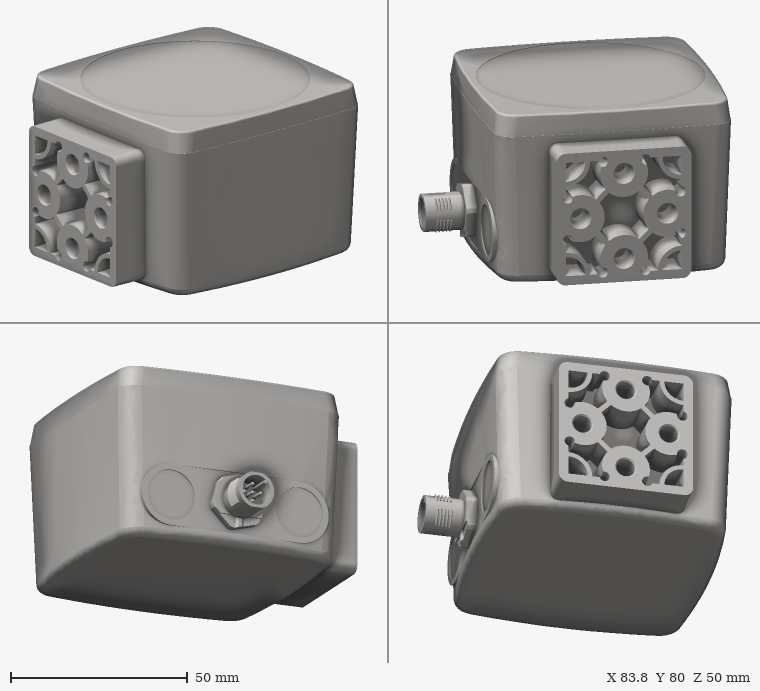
import cadquery as cq
import math

half_width = 35.0
seam_z = 43.8
total_height = 50.0
bottom_round = 2.5
bottom_plan = (half_width, 27.65, 2.1)
seam_plan = (half_width, 29.25, 0.75)
lid_base_inset = 0.125
lid_base_plan = (half_width - lid_base_inset, 29.25, 0.75)
lid_top_plan = (34.7, 28.0, 1.25)
lid_round = 0.75
label_radius = 32.5
label_depth = 0.2

pad_face_x = -34.5
pad_z = 12.6
pad_radius = 9.05
pad_recess_radius = 7.4
pad_recess_spacing = 40.0
pad_recess_depth = 0.4
pad_root_x = -29.3

block_face_y = -45.0
block_size = 38.9
block_corner_radius = 2.5
block_z = 21.9
block_root_y = -25.1
block_draft = 0.6
pocket_depth = 9.6
pocket_draft = 2.4
pocket_half = 16.8
boss_offset = 12.6
boss_radius = 6.95
rib_width = 1.5
bolt_hole_diameter = 5.4
bolt_hole_depth = 10.05
bolt_chamfer = 0.4
corner_pocket_radius = 5.6
corner_web_radius = 6.95
relief_radius = 1.5
relief_near = 6.2
relief_far = 16.3

connector_tip_x = -48.8
nut_front_x = -37.6
nut_apothem = 7.5
nut_corner_radius = 8.3
nut_turn = -15
nut_chamfer = 0.25
nut_step_z = -4.4
nut_step_depth = 0.6
key_base_width = 2.5
key_top_width = 1.2
barrel_radius = 5.45
barrel_flat = 5.2
bore_radius = 4.35
bore_depth = 8.4
bore_key_radius = 0.5
bore_key_tip = 3.35
pin_radius = 0.5
pin_offset = 2.5
pin_length = 6.1
pin_tip = 0.3
cross_length = 6.2
cross_arm_width = 0.7
cross_hub_radius = 1.7
cross_clearance = 1.3
cross_depth = 0.4
thread_pitch = 1.0
thread_turns = 5
thread_crest_radius = 6.0
thread_root_radius = 5.0
thread_start_x = -46.4
thread_segments = ((-38, 38), (121, 159), (190, 240))


def quarter_turned(point, quarters):
    """Point turned about the vertical axis by a number of quarter turns."""
    x, y = point
    for _ in range(quarters):
        x, y = -y, x
    return x, y


def plan_wire(plan, z):
    """Square outline with bulged sides and corner arcs tangent to them."""
    half, reach, bulge = plan
    edge = half - bulge
    slope = 2 * math.atan(bulge / reach)
    half_sweep = math.pi / 4 - slope
    half_chord = (edge - reach) / math.sqrt(2)
    sagitta = half_chord * math.tan(half_sweep / 2)
    middle = (edge + reach) / 2 + sagitta / math.sqrt(2)
    outline = cq.Workplane("XY", origin=(0, 0, z)).moveTo(edge, -reach)
    for quarter in range(4):
        side_middle, side_end, corner_middle, corner_end = [
            quarter_turned(point, quarter)
            for point in ((half, 0), (edge, reach), (middle, middle), (reach, edge))]
        outline = outline.threePointArc(side_middle, side_end)
        outline = outline.threePointArc(corner_middle, corner_end)
    return outline.close().wire().val()


def loft_between(lower_plan, lower_z, upper_plan, upper_z):
    wires = [plan_wire(lower_plan, lower_z), plan_wire(upper_plan, upper_z)]
    return cq.Workplane(cq.Solid.makeLoft(wires, True))


def pad_plane(x):
    """Sketch plane facing -X, centred on the pad; local x runs along -Y."""
    return cq.Workplane(cq.Plane((x, 0, pad_z), xDir=(0, -1, 0), normal=(-1, 0, 0)))


def block_plane(y):
    """Sketch plane looking into the block along +Y; local y runs along -Z."""
    return cq.Workplane(cq.Plane((0, y, block_z), xDir=(1, 0, 0), normal=(0, 1, 0)))


def make_housing():
    body = loft_between(bottom_plan, 0, seam_plan, seam_z)
    body = body.faces("<Z").edges().fillet(bottom_round)
    pad_length = pad_recess_spacing + 2 * pad_radius
    pad = pad_plane(pad_root_x).slot2D(pad_length, 2 * pad_radius).extrude(pad_root_x - pad_face_x)
    clearance = pad_plane(pad_face_x).slot2D(pad_length, 2 * pad_radius).extrude(half_width)
    centres = [(-pad_recess_spacing / 2, 0), (pad_recess_spacing / 2, 0)]
    recesses = pad_plane(pad_face_x).pushPoints(centres).circle(pad_recess_radius).extrude(-pad_recess_depth)
    return body.union(pad).cut(clearance).cut(recesses)


def make_lid():
    body = loft_between(lid_base_plan, seam_z, lid_top_plan, total_height)
    body = body.faces(">Z").edges().fillet(lid_round)
    label = cq.Workplane("XY", origin=(0, 0, total_height)).circle(label_radius).extrude(-label_depth)
    return body.cut(label)


def block_pockets(boss_centres):
    """Drafted pockets left between the bosses, diagonal ribs and corner webs."""
    def face():
        return block_plane(block_face_y)

    corners = [(sx * pocket_half, sz * pocket_half) for sx in (-1, 1) for sz in (-1, 1)]
    area = face().rect(2 * pocket_half, 2 * pocket_half).extrude(pocket_depth, taper=pocket_draft)
    bosses = face().pushPoints(boss_centres).circle(boss_radius).extrude(pocket_depth, taper=-pocket_draft)
    webs = face().pushPoints(corners).circle(corner_web_radius).extrude(pocket_depth, taper=-pocket_draft)
    rib_square = boss_offset * math.sqrt(2)
    ribs = (face().transformed(rotate=(0, 0, 45)).rect(rib_square + rib_width, rib_square + rib_width)
            .extrude(pocket_depth, taper=-pocket_draft))
    ribs = ribs.cut(face().transformed(rotate=(0, 0, 45))
                    .rect(rib_square - rib_width, rib_square - rib_width)
                    .extrude(pocket_depth, taper=pocket_draft))
    pockets = area.cut(bosses).cut(webs).cut(ribs)
    quarters = (face().pushPoints(corners).circle(corner_pocket_radius)
                .extrude(pocket_depth, taper=pocket_draft))
    pockets = pockets.union(quarters.intersect(area))
    reliefs = [(sx * a, sz * b) for sx in (-1, 1) for sz in (-1, 1)
               for a, b in ((relief_near, relief_far), (relief_far, relief_near))]
    return pockets.union(face().pushPoints(reliefs).circle(relief_radius)
                         .extrude(pocket_depth, taper=pocket_draft))


def make_mount(housing):
    depth = block_root_y - block_face_y
    outline = cq.Sketch().rect(block_size, block_size).vertices().fillet(block_corner_radius)
    block = block_plane(block_face_y).placeSketch(outline).extrude(depth, taper=-block_draft)
    boss_centres = [(boss_offset, 0), (-boss_offset, 0), (0, boss_offset), (0, -boss_offset)]
    holes = (block_plane(block_face_y).pushPoints(boss_centres)
             .circle(bolt_hole_diameter / 2).extrude(bolt_hole_depth))
    sinks = (block_plane(block_face_y).pushPoints(boss_centres)
             .circle(bolt_hole_diameter / 2 + bolt_chamfer).extrude(bolt_chamfer, taper=45))
    return block.cut(housing).cut(block_pockets(boss_centres)).cut(holes).cut(sinks)


def make_nut():
    length = pad_face_x - nut_front_x
    hexagon = (pad_plane(pad_face_x).transformed(rotate=(0, 0, nut_turn))
               .polygon(6, 2 * nut_apothem, circumscribed=True).extrude(length))
    disc = pad_plane(pad_face_x).circle(nut_corner_radius).extrude(length).faces("<X").chamfer(nut_chamfer)
    nut = hexagon.intersect(disc)
    step_height = nut_corner_radius + nut_step_z
    step = (pad_plane(nut_front_x).center(0, nut_step_z - step_height / 2)
            .rect(2 * nut_corner_radius, step_height).extrude(-nut_step_depth))
    key = (cq.Workplane("XY", origin=(0, 0, pad_z + nut_step_z))
           .polyline([(nut_front_x, -key_top_width / 2), (nut_front_x, key_top_width / 2),
                      (nut_front_x + nut_step_depth, key_base_width / 2),
                      (nut_front_x + nut_step_depth, -key_base_width / 2)])
           .close().extrude(-step_height))
    return nut.cut(step.cut(key))


def make_barrel():
    length = nut_front_x - connector_tip_x
    barrel = pad_plane(nut_front_x).circle(barrel_radius).extrude(length)
    return barrel.intersect(pad_plane(nut_front_x).rect(2 * barrel_radius, 2 * barrel_flat).extrude(length))


def make_thread():
    """Ring ridges in three angular segments, each segment shifted along the helix."""
    ridges = []
    for start, end in thread_segments:
        shift = thread_pitch * start / 360
        for turn in range(thread_turns):
            x = thread_start_x + thread_pitch * (turn + 0.5) + shift
            ridge = (cq.Workplane("XY").polyline([(x - thread_pitch / 2, thread_root_radius),
                                                  (x, thread_crest_radius),
                                                  (x + thread_pitch / 2, thread_root_radius)]).close()
                     .revolve(end - start, (0, 0, 0), (1, 0, 0))
                     .rotate((0, 0, 0), (1, 0, 0), start).translate((0, 0, pad_z)))
            ridges.append(ridge)
    return ridges


def make_connector():
    body = make_nut().union(make_barrel())
    for ridge in make_thread():
        body = body.union(ridge)
    floor_x = connector_tip_x + bore_depth
    bore = pad_plane(floor_x).circle(bore_radius).extrude(bore_depth)
    key_length = 2 * (barrel_radius - bore_key_tip)
    bore_key = (pad_plane(floor_x).transformed(rotate=(0, 0, 45)).center(barrel_radius, 0)
                .slot2D(key_length, 2 * bore_key_radius).extrude(bore_depth))
    body = body.cut(bore.cut(bore_key))
    pin_ring = [(pin_offset, 0), (-pin_offset, 0), (0, pin_offset), (0, -pin_offset)]
    cross = pad_plane(floor_x).circle(cross_hub_radius).extrude(-cross_depth)
    for angle in (45, 135):
        cross = cross.union(pad_plane(floor_x).transformed(rotate=(0, 0, angle))
                            .rect(cross_length, cross_arm_width).extrude(-cross_depth))
    cross = cross.cut(pad_plane(floor_x).pushPoints(pin_ring).circle(cross_clearance).extrude(-cross_depth))
    pins = (pad_plane(floor_x + cross_depth).pushPoints(pin_ring + [(0, 0)]).circle(pin_radius)
            .extrude(pin_length + cross_depth).faces("<X").chamfer(pin_tip))
    return body.cut(cross).union(pins)


housing = make_housing()
lid = make_lid()
mount = make_mount(housing)
connector = make_connector()

result = cq.Compound.makeCompound([housing.val(), lid.val(), mount.val(), connector.val()])